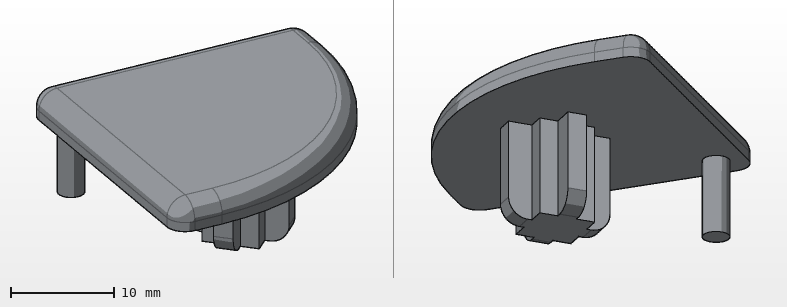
import cadquery as cq
import math

side = 30.0
plate_height = 3.0
edge_radius = side / 15
arc_radius = side * 5 / 6

pin_offset = 3.0
pin_diameter = 2.7
pin_length = 8.0

plug_length = 10.0
plug_center = side / 2
plug_angle = 45
arm_span = 10.7
arm_width = 1.98
core_side = 5.8
arm_tip_radius = edge_radius


def cap_plate():
    """Plate with three rounded corners, one large arc and a rounded top rim."""
    arc_center = side - arc_radius
    arc_middle = arc_center + arc_radius * math.sqrt(0.5)
    plate = (
        cq.Workplane("XY")
        .lineTo(side, 0)
        .lineTo(side, arc_center)
        .threePointArc((arc_middle, arc_middle), (arc_center, side))
        .lineTo(0, side)
        .close()
        .extrude(plate_height)
    )
    plate = plate.edges("|Z and (<X or <Y)").fillet(edge_radius)
    return plate.faces(">Z").edges().fillet(edge_radius)


def locating_pin():
    """Round pin hanging below the plate."""
    return cq.Workplane("XY").center(pin_offset, pin_offset).circle(pin_diameter / 2).extrude(-pin_length)


def plug_arm():
    """Bar across the plug with rounded lower ends."""
    bar = cq.Workplane("XY").rect(arm_span, arm_width).extrude(-plug_length)
    return bar.faces("<Z").edges("|Y").fillet(arm_tip_radius)


def cross_plug():
    """Square core with two crossing arms, placed under the plate."""
    plug = cq.Workplane("XY").rect(core_side, core_side).extrude(-plug_length)
    for angle in (0, 90):
        plug = plug.union(plug_arm().rotate((0, 0, 0), (0, 0, 1), angle))
    plug = plug.rotate((0, 0, 0), (0, 0, 1), plug_angle)
    return plug.translate((plug_center, plug_center, 0))


result = cap_plate().union(locating_pin()).union(cross_plug())